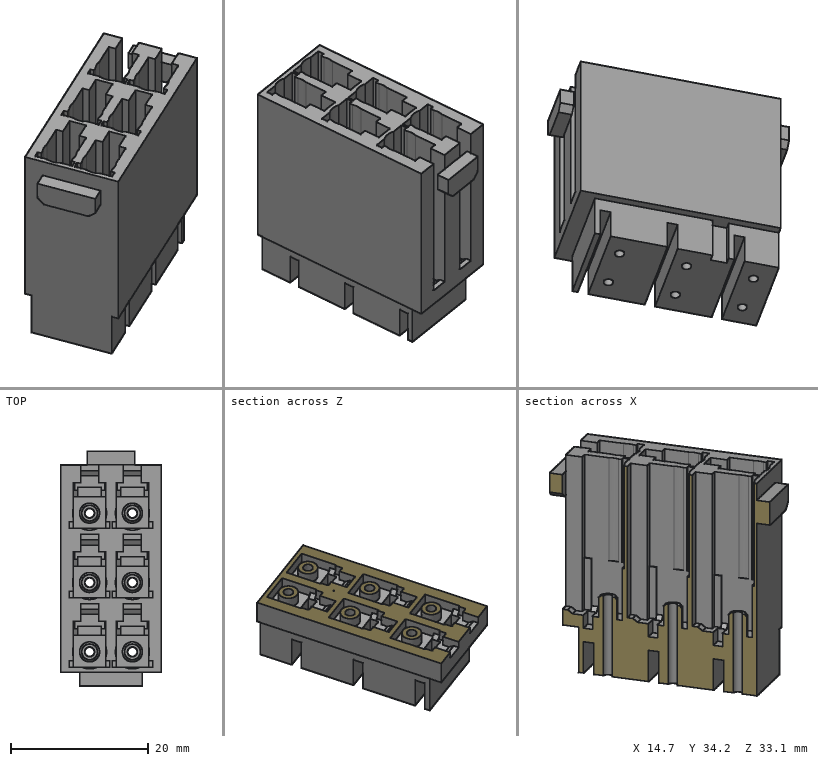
import cadquery as cq

body_width = 14.67
body_length = 30.15
total_height = 33.1
skirt_height = 7.05
body_top = total_height
body_front = -body_length / 2
body_back = body_length / 2

skirt_side_step = 1.03
skirt_width = body_width - 2 * skirt_side_step
skirt_rear_step = 2.43
skirt_length = body_length - skirt_rear_step

notch_width = 2.43
notch_depth = 1.03
notch_center_y = -6.3

overall_length = 34.2
latch_reach = (overall_length - body_length) / 2
latch_height = 3.65
latch_drop = 2.6
latch_top = body_top - latch_drop
front_latch_width = 9.1
rear_latch_width = 6.98
latch_chamfer_x = 1.03
latch_chamfer_z = 0.95

column_pitch = 6.22
row_pitch = 10.1
middle_row_y = -2.02
column_centers = [-column_pitch / 2, column_pitch / 2]
row_centers = [middle_row_y + row * row_pitch for row in (-1, 0, 1)]

slot_width = 1.55
slot_height = 4.85
slot_offset = 2.98

floor_z = 9.05
ledge_z = 17.1
pocket_width = 4.72
pocket_front = -2.22
pocket_rear = 4.45
neck_width = 2.6
neck_rear = body_back - (middle_row_y + row_pitch)
bore_diameter = 4.95
ear_span = 5.88
ear_length = 0.95

shelf_front = 6.2
ramp_run = 0.75
ramp_rise = 0.5
recess_width = 3.42
recess_front = 2.4
recess_rear = 3.75
recess_z = skirt_height
wedge_rear = 3.35
wedge_rise = 0.65
rib_width = 0.17

pin_diameter = 2.9
pin_height = 3.42
pin_chamfer_radial = 0.3
pin_chamfer_height = 0.38
pin_hole_diameter = 1.37


def block(x_min, x_max, y_min, y_max, z_min, z_max):
    size = (x_max - x_min, y_max - y_min, z_max - z_min)
    return cq.Workplane("XY").box(*size, centered=False).translate((x_min, y_min, z_min))


def centered_block(width, y_min, y_max, z_min, z_max):
    return block(-width / 2, width / 2, y_min, y_max, z_min, z_max)


def make_shell():
    body = centered_block(body_width, body_front, body_back, skirt_height, body_top)
    skirt = centered_block(skirt_width, body_front, body_front + skirt_length, 0, skirt_height)
    notch_start = notch_center_y - notch_width / 2
    side = -skirt_width / 2
    notch = block(side, side + notch_depth, notch_start, notch_start + notch_width, 0, skirt_height)
    return body.union(skirt.cut(notch))


def make_latch(width, y_start):
    """Block with both lower corners bevelled, reaching out along +Y from y_start."""
    half = width / 2
    bottom = latch_top - latch_height
    outline = [
        (-half, latch_top),
        (half, latch_top),
        (half, bottom + latch_chamfer_z),
        (half - latch_chamfer_x, bottom),
        (-half + latch_chamfer_x, bottom),
        (-half, bottom + latch_chamfer_z),
    ]
    plane = cq.Workplane("XZ", origin=(0, y_start, 0))
    return plane.polyline(outline).close().extrude(-latch_reach)


def make_cell_cavity():
    """Empty space of one contact cell, down to its floor and ledges."""
    cavity = centered_block(pocket_width, pocket_front, pocket_rear, floor_z, body_top)
    neck = centered_block(neck_width, pocket_rear, neck_rear, floor_z, body_top)
    bore = cq.Workplane("XY", origin=(0, 0, ledge_z)).circle(bore_diameter / 2).extrude(body_top - ledge_z)
    ears = centered_block(ear_span, pocket_front, pocket_front + ear_length, ledge_z, body_top)
    recess = centered_block(recess_width, recess_front, recess_rear, recess_z, floor_z)
    return cavity.union(neck).union(bore).union(ears).union(recess)


def make_neck_ramp():
    """Raised shelf at the rear of the neck with a ramp falling towards the pocket."""
    profile = [
        (shelf_front - ramp_run, floor_z),
        (shelf_front, floor_z + ramp_rise),
        (neck_rear, floor_z + ramp_rise),
        (neck_rear, floor_z),
    ]
    plane = cq.Workplane("YZ", origin=(-neck_width / 2, 0, 0))
    return plane.polyline(profile).close().extrude(neck_width)


def make_wedge():
    """Sloping wedge between the floor recess and the right pocket wall."""
    profile = [
        (recess_width / 2, floor_z),
        (pocket_width / 2, floor_z),
        (pocket_width / 2, floor_z + wedge_rise),
    ]
    plane = cq.Workplane("XZ", origin=(0, recess_front, 0))
    return plane.polyline(profile).close().extrude(recess_front - wedge_rear)


def make_corner_rib():
    """Thin rib in the right rear corner of the pocket."""
    return block(pocket_width / 2 - rib_width, pocket_width / 2, wedge_rear, pocket_rear, floor_z, ledge_z)


def make_pin():
    radius = pin_diameter / 2
    tip_z = floor_z + pin_height
    profile = [
        (0, floor_z),
        (radius, floor_z),
        (radius, tip_z - pin_chamfer_height),
        (radius - pin_chamfer_radial, tip_z),
        (0, tip_z),
    ]
    return cq.Workplane("XZ").polyline(profile).close().revolve(360, (0, 0, 0), (0, 1, 0))


def make_cell_tool():
    """Everything to remove for one cell: the cavity minus what stands in it, plus the pin hole."""
    tool = make_cell_cavity().cut(make_neck_ramp()).cut(make_pin())
    for side_detail in (make_wedge(), make_corner_rib()):
        tool = tool.cut(side_detail).cut(side_detail.mirror("YZ"))
    pin_hole = cq.Workplane("XY").circle(pin_hole_diameter / 2).extrude(floor_z + pin_height)
    return tool.union(pin_hole)


result = make_shell()
result = result.union(make_latch(front_latch_width, body_front - latch_reach))
result = result.union(make_latch(rear_latch_width, body_back))

cell_tool = make_cell_tool()
for row_y in row_centers:
    for column_x in column_centers:
        result = result.cut(cell_tool.translate((column_x, row_y, 0)))
    slot_start = row_y + slot_offset - slot_width / 2
    result = result.cut(centered_block(skirt_width, slot_start, slot_start + slot_width, 0, slot_height))